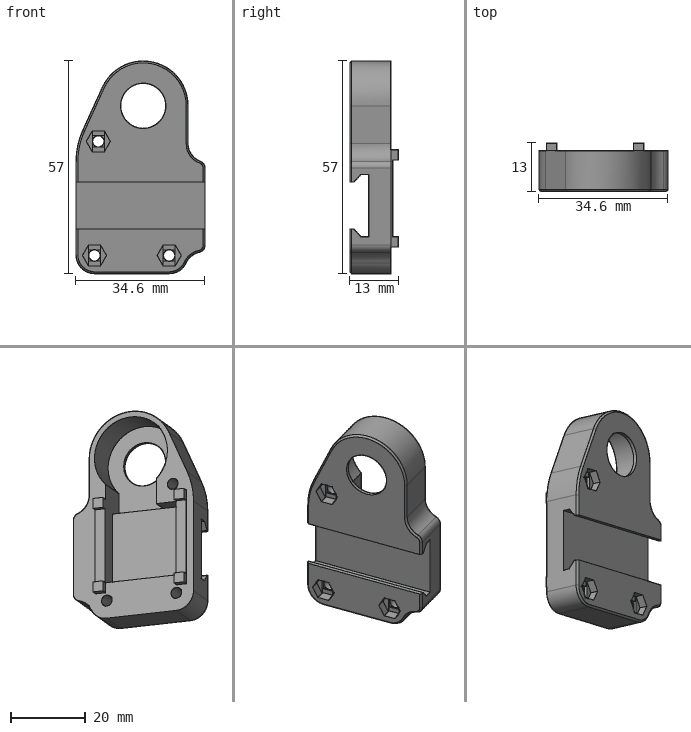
import cadquery as cq
import math


width = 34.6
height = 57.0
body_depth = 11.0
edge_chamfer = 0.5

head_radius = 12.0
head_x = 18.0
head_z = height - head_radius
flank_angle = math.radians(24.5)
flank_blend = 20.0

corner_radius = 5.0
shoulder_radius = 2.0
neck_radius = 5.0
neck_z = 34.8
notch_x = 34.1

lip_hole_diameter = 12.0
bore_diameter = 21.0
lip_thickness = 1.0

groove_mouth_bottom = 12.0
groove_mouth_top = 24.5
groove_undercut = 2.05
groove_land = 1.1
groove_slope_end = 2.95
groove_depth = 5.1

square_size = 20.5
square_x = 4.8
square_z = 9.9
square_floor = groove_depth + lip_thickness
rail_width = 2.8
rail_height = 0.5
peg_height = 2.0

screw_diameter = 3.0
nut_flats = 5.6
nut_depth = 2.4
bridge_layer = 0.4
right_screw_x = 24.95
screw_places = [(6.0, 35.45), (4.95, 4.9), (right_screw_x, 4.9)]


def box(x, y, z, size_x, size_y, size_z):
    """Box given by its lowest corner and its sizes."""
    return cq.Workplane("XY").box(size_x, size_y, size_z, centered=False).translate((x, y, z))


def cylinder(x, z, diameter, y_start, y_end):
    """Cylinder along Y."""
    plane = cq.Workplane("XZ", origin=(x, y_start, z))
    return plane.circle(diameter / 2).extrude(y_start - y_end)


def on_circle(center, radius, angle):
    return (center[0] + radius * math.cos(angle), center[1] + radius * math.sin(angle))


def direction(start, end):
    return math.atan2(end[1] - start[1], end[0] - start[0])


def arc(sketch, center, radius, start, end):
    """Continue the outline along a circle from one angle to another."""
    middle = on_circle(center, radius, (start + end) / 2)
    return sketch.threePointArc(middle, on_circle(center, radius, end))


def make_body():
    half_pi = math.pi / 2
    head = (head_x, head_z)
    neck_x = head_x + head_radius
    shoulder_x = width - shoulder_radius
    shoulder_reach = neck_radius + shoulder_radius

    flank_start = math.pi - flank_angle
    flank_top = on_circle(head, head_radius, flank_start)
    flank_foot_z = flank_top[1] - flank_top[0] / math.tan(flank_angle)
    blend = (flank_blend, flank_foot_z - flank_blend * math.tan(flank_angle / 2))

    neck = (neck_x + neck_radius, neck_z)
    upper_drop = math.sqrt(shoulder_reach**2 - (neck[0] - shoulder_x)**2)
    upper = (shoulder_x, neck_z - upper_drop)
    neck_end = direction(neck, upper) + 2 * math.pi

    corner = (right_screw_x, corner_radius)
    notch_reach = corner_radius + neck_radius
    notch = (notch_x, corner_radius - math.sqrt(notch_reach**2 - (notch_x - corner[0])**2))
    lower_rise = math.sqrt(shoulder_reach**2 - (notch_x - shoulder_x)**2)
    lower = (shoulder_x, notch[1] + lower_rise)

    outline = cq.Workplane("XZ").moveTo(0, corner_radius).lineTo(0, blend[1])
    outline = arc(outline, blend, flank_blend, math.pi, flank_start)
    outline = outline.lineTo(*flank_top)
    outline = arc(outline, head, head_radius, flank_start, 0)
    outline = outline.lineTo(neck_x, neck_z)
    outline = arc(outline, neck, neck_radius, math.pi, neck_end)
    outline = arc(outline, upper, shoulder_radius, neck_end - math.pi, 0)
    outline = outline.lineTo(width, lower[1])
    outline = arc(outline, lower, shoulder_radius, 0, direction(lower, notch))
    outline = arc(outline, notch, neck_radius, direction(notch, lower), direction(notch, corner))
    outline = arc(outline, corner, corner_radius, direction(corner, notch), -half_pi)
    outline = outline.lineTo(corner_radius, 0)
    outline = arc(outline, (corner_radius, corner_radius), corner_radius, -half_pi, -math.pi)
    return outline.close().extrude(-body_depth).faces("<Y").chamfer(edge_chamfer)


def dovetail_groove():
    bottom = groove_mouth_bottom
    top = groove_mouth_top
    profile = [
        (0, bottom),
        (groove_land, bottom),
        (groove_slope_end, bottom - groove_undercut),
        (groove_depth, bottom - groove_undercut),
        (groove_depth, top + groove_undercut),
        (groove_slope_end, top + groove_undercut),
        (groove_land, top),
        (0, top),
    ]
    return cq.Workplane("YZ").polyline(profile).close().extrude(width)


def head_bore():
    lip_hole = cylinder(head_x, head_z, lip_hole_diameter, 0, body_depth)
    return lip_hole.union(cylinder(head_x, head_z, bore_diameter, lip_thickness, body_depth))


def back_compartment():
    """Square recess with a channel that leads up into the bore."""
    recess = box(square_x, square_floor, square_z, square_size, body_depth - square_floor, square_size)
    square_top = square_z + square_size
    half_channel = square_x + square_size - head_x
    channel = box(
        head_x - half_channel, lip_thickness, square_top,
        2 * half_channel, body_depth - lip_thickness, head_z - head_radius / 2 - square_top,
    )
    return recess.union(channel)


def side_rail(x):
    """Low rail beside the compartment with a taller square peg at each end."""
    rail = box(x, body_depth, square_z, rail_width, rail_height, square_size)
    for z in (square_z - rail_width, square_z + square_size):
        rail = rail.union(box(x, body_depth, z, rail_width, peg_height, rail_width))
    return rail


def screw_hole(x, z):
    """Hexagonal nut pocket stepping through a slot and a near-square to a round hole."""
    nut_side = nut_flats / math.sqrt(3)
    nut = cq.Workplane("XZ").polygon(6, 2 * nut_side).extrude(-nut_depth)
    slot = box(-nut_side / 2, nut_depth, -nut_flats / 2, nut_side, bridge_layer, nut_flats)
    square = box(-nut_side / 2, nut_depth, -screw_diameter / 2, nut_side, 2 * bridge_layer, screw_diameter)
    screw = cylinder(0, 0, screw_diameter, 0, body_depth)
    return nut.union(slot).union(square).union(screw).translate((x, 0, z))


result = make_body()
result = result.cut(dovetail_groove()).cut(head_bore()).cut(back_compartment())
for rail_x in (square_x - rail_width, square_x + square_size):
    result = result.union(side_rail(rail_x))
for place in screw_places:
    result = result.cut(screw_hole(*place))